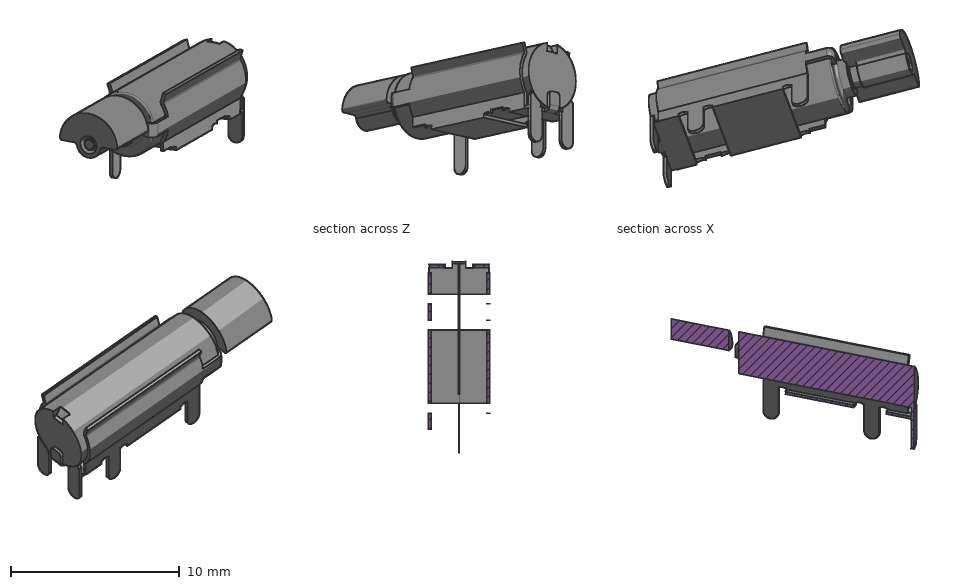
import cadquery as cq
import math


LENGTH = 15.8
HEIGHT = 6.2
CAN_RADIUS = 4.0 / 2
CLIP_RADIUS = 4.4 / 2
SHEET = CLIP_RADIUS - CAN_RADIUS
BEND = 0.38

CAN_FRONT = -11.3
CAN_EDGE_FILLET = 0.1
BOSS_RADIUS = 1.15
BOSS_FRONT = -12.01
BOSS_ROOT_FILLET = 0.19
SLOT_WIDTH = 0.82
SLOT_LENGTH = 0.57
SLOT_DEPTH = 0.55
SLOT_FLOOR_LENGTH = 0.25
SLOT_RAMP_TOP = math.sqrt(CAN_RADIUS**2 - (SLOT_WIDTH / 2) ** 2)

WASHER_RADIUS = 0.77
WASHER_FRONT = -12.09
COLLAR_RADIUS = 0.7
SHAFT_RADIUS = 0.38
SHAFT_CHAMFER = 0.08
SHAFT_STUB = 0.1
WEIGHT_RADIUS = 1.98
WEIGHT_REAR = -11.9
WEIGHT_FRONT = SHEET - LENGTH
WEIGHT_FILLET = 0.19
HUB_RADIUS = 0.8
HUB_REAR = -12.56
COUNTERSINK_RADIUS = 0.55
COUNTERSINK_DEPTH = COUNTERSINK_RADIUS - SHAFT_RADIUS

CLIP_REAR = -0.54
CLIP_FRONT = -9.81
WALL_OUTER = 1.83
WALL_INNER = WALL_OUTER - SHEET
LIP_START = math.radians(33)
LIP_BEND = 0.1
LIP_LENGTH = 0.54
LIP_ANGLE = math.radians(18)
CLIP_BOTTOM = -CLIP_RADIUS
PLATE_TOP = -CAN_RADIUS

ARM_HALF_HEIGHT = 0.87 / 2
ARM_TIP = 1.39
ARM_CORNER = 0.16

LEG_WIDTH = 0.96
LEG_END_RADIUS = LEG_WIDTH / 2 - 0.002
LEG_TOP = -1.8
LEG_BOTTOM = CAN_RADIUS - HEIGHT
SIDE_LEG_CENTERS = (-2.86, CLIP_FRONT + LEG_WIDTH / 2)
RELIEF_WIDTH = 0.57
RELIEF_ARC_HEIGHT = 0.1
REAR_LEG_FACE = -0.03
REAR_LEG_CENTER = 1.31
REAR_LEG_TOP = -1.05
REAR_LEG_GAP = 0.93
REAR_LEG_SHOULDER = -1.39
REAR_LEG_STEP = 0.16
TAB_TOP = -1.0
TAB_CORNER = 0.19


def box(x_range, y_range, z_range):
    """Block between the given pairs of limits."""
    sizes = [high - low for low, high in (x_range, y_range, z_range)]
    corner = (x_range[0], y_range[0], z_range[0])
    return cq.Workplane("XY").box(*sizes, centered=False).translate(corner)


def polar(center, distance, angle):
    """Point at a distance from center in the direction of angle."""
    return (center[0] + distance * math.cos(angle), center[1] + distance * math.sin(angle))


def disc(radius, rear, front):
    """Cylinder on the motor axis from rear to front."""
    return cq.Workplane("XZ", origin=(0, rear, 0)).circle(radius).extrude(rear - front)


def make_can():
    can = disc(CAN_RADIUS, 0, CAN_FRONT).faces("<Y").edges().fillet(CAN_EDGE_FILLET)
    root = CAN_FRONT - BOSS_ROOT_FILLET
    diagonal = BOSS_ROOT_FILLET * (1 - math.sqrt(0.5))
    boss = (
        cq.Workplane("XY")
        .moveTo(0, CAN_FRONT)
        .lineTo(BOSS_RADIUS + BOSS_ROOT_FILLET, CAN_FRONT)
        .threePointArc((BOSS_RADIUS + diagonal, CAN_FRONT - diagonal), (BOSS_RADIUS, root))
        .lineTo(BOSS_RADIUS, BOSS_FRONT)
        .lineTo(0, BOSS_FRONT)
        .close()
        .revolve(360, (0, 0, 0), (0, 1, 0))
    )
    slot = (
        cq.Workplane("YZ", origin=(-SLOT_WIDTH / 2, 0, 0))
        .moveTo(0, CAN_RADIUS)
        .lineTo(-SLOT_LENGTH, CAN_RADIUS)
        .lineTo(-SLOT_LENGTH, SLOT_RAMP_TOP)
        .lineTo(-SLOT_FLOOR_LENGTH, CAN_RADIUS - SLOT_DEPTH)
        .lineTo(0, CAN_RADIUS - SLOT_DEPTH)
        .close()
        .extrude(SLOT_WIDTH)
    )
    return can.cut(slot).union(boss)


def make_weight():
    upper = disc(WEIGHT_RADIUS, WEIGHT_REAR, WEIGHT_FRONT).intersect(
        box((-WEIGHT_RADIUS, WEIGHT_RADIUS), (WEIGHT_FRONT, WEIGHT_REAR), (0, WEIGHT_RADIUS))
    )
    upper = upper.edges("|Y").fillet(WEIGHT_FILLET)
    center_z = -WEIGHT_FILLET
    center_x = math.sqrt((HUB_RADIUS + WEIGHT_FILLET) ** 2 - center_z**2)
    web = box((-center_x, center_x), (WEIGHT_FRONT, HUB_REAR), (center_z, 0))
    hub = disc(HUB_RADIUS, HUB_REAR, WEIGHT_FRONT)
    blend = disc(WEIGHT_FILLET, HUB_REAR, WEIGHT_FRONT)
    for side in (-1, 1):
        web = web.cut(blend.translate((side * center_x, 0, center_z)))
    countersink = (
        cq.Workplane("XZ", origin=(0, WEIGHT_FRONT, 0))
        .circle(COUNTERSINK_RADIUS)
        .workplane(offset=-COUNTERSINK_DEPTH)
        .circle(SHAFT_RADIUS)
        .loft()
    )
    return upper.union(web).union(hub).cut(countersink)


def make_shaft():
    washer = disc(WASHER_RADIUS, BOSS_FRONT, WASHER_FRONT)
    collar = disc(COLLAR_RADIUS, WASHER_FRONT, HUB_REAR)
    tip_rear = WEIGHT_FRONT + COUNTERSINK_DEPTH
    tip = disc(SHAFT_RADIUS, tip_rear, tip_rear - SHAFT_STUB)
    tip = tip.faces("<Y").edges().chamfer(SHAFT_CHAMFER)
    return washer.union(collar).union(tip)


def make_clip_side(side):
    """One side wall with its can-hugging arc and flared lip; side is -1 or 1."""
    inner_z = math.sqrt(CAN_RADIUS**2 - WALL_INNER**2)
    outer_z = math.sqrt(CLIP_RADIUS**2 - WALL_OUTER**2)
    bend_center = polar((0, 0), CLIP_RADIUS + LIP_BEND, LIP_START)
    bend_start = math.pi + LIP_START
    bend_end = math.pi - LIP_ANGLE
    bend_middle = (bend_start + bend_end) / 2
    inner_bend = LIP_BEND + SHEET
    lip_direction = math.pi / 2 - LIP_ANGLE
    inner_tip = polar(polar(bend_center, inner_bend, bend_end), LIP_LENGTH, lip_direction)
    outer_tip = polar(polar(bend_center, LIP_BEND, bend_end), LIP_LENGTH, lip_direction)

    def at(point):
        return (side * point[0], point[1])

    return (
        cq.Workplane("XZ", origin=(0, CLIP_REAR, 0))
        .moveTo(*at((WALL_INNER, CLIP_BOTTOM)))
        .lineTo(*at((WALL_INNER, -inner_z)))
        .threePointArc(at((CAN_RADIUS, 0)), at(polar(bend_center, inner_bend, bend_start)))
        .threePointArc(
            at(polar(bend_center, inner_bend, bend_middle)),
            at(polar(bend_center, inner_bend, bend_end)),
        )
        .lineTo(*at(inner_tip))
        .lineTo(*at(outer_tip))
        .lineTo(*at(polar(bend_center, LIP_BEND, bend_end)))
        .threePointArc(
            at(polar(bend_center, LIP_BEND, bend_middle)),
            at(polar(bend_center, LIP_BEND, bend_start)),
        )
        .threePointArc(at((CLIP_RADIUS, 0)), at((WALL_OUTER, -outer_z)))
        .lineTo(*at((WALL_OUTER, CLIP_BOTTOM)))
        .close()
        .extrude(CLIP_REAR - CLIP_FRONT)
    )


def make_leg_notch(center):
    """Cutter that clears the bottom plate and side walls around one side leg."""
    half_leg = LEG_WIDTH / 2
    half_notch = half_leg + RELIEF_WIDTH
    arc_y = half_leg + RELIEF_WIDTH / 2
    arc_top = PLATE_TOP + RELIEF_ARC_HEIGHT
    profile = (
        cq.Workplane("YZ", origin=(-CLIP_RADIUS, center, 0))
        .moveTo(-half_notch, CLIP_BOTTOM)
        .lineTo(-half_notch, PLATE_TOP)
        .threePointArc((-arc_y, arc_top), (-half_leg, PLATE_TOP))
        .lineTo(-half_leg, LEG_TOP)
        .lineTo(half_leg, LEG_TOP)
        .lineTo(half_leg, PLATE_TOP)
        .threePointArc((arc_y, arc_top), (half_notch, PLATE_TOP))
        .lineTo(half_notch, CLIP_BOTTOM)
        .close()
    )
    return profile.extrude(2 * CLIP_RADIUS)


def make_side_leg(center):
    leg = box(
        (-WALL_OUTER, -WALL_INNER),
        (center - LEG_WIDTH / 2, center + LEG_WIDTH / 2),
        (LEG_BOTTOM, LEG_TOP),
    )
    return leg.faces("<Z").edges("|X").fillet(LEG_END_RADIUS)


def make_rear_leg(side):
    outer = REAR_LEG_CENTER + LEG_WIDTH / 2
    depth = (REAR_LEG_FACE - SHEET, REAR_LEG_FACE)
    lower = box((outer - LEG_WIDTH, outer), depth, (LEG_BOTTOM, PLATE_TOP))
    lower = lower.faces("<Z").edges("|Y").fillet(LEG_END_RADIUS)
    upper = (
        cq.Workplane("XZ", origin=(0, REAR_LEG_FACE, 0))
        .moveTo(REAR_LEG_GAP, PLATE_TOP)
        .lineTo(outer, PLATE_TOP)
        .lineTo(outer, REAR_LEG_SHOULDER)
        .lineTo(outer - REAR_LEG_STEP, REAR_LEG_SHOULDER + REAR_LEG_STEP)
        .lineTo(outer - REAR_LEG_STEP, REAR_LEG_TOP)
        .lineTo(REAR_LEG_GAP, REAR_LEG_TOP)
        .close()
        .extrude(SHEET)
    )
    leg = lower.union(upper)
    return leg if side > 0 else leg.mirror("YZ")


def make_rear_tab():
    half = SLOT_WIDTH / 2
    upright = box((-half, half), (0, SHEET), (CLIP_BOTTOM, TAB_TOP))
    upright = upright.edges("|Y and >Z").fillet(TAB_CORNER)
    foot = box((-half, half), (CLIP_REAR, SHEET), (CLIP_BOTTOM, PLATE_TOP))
    tab = upright.union(foot)
    return tab.edges("|X and >Y and <Z").fillet(BEND)


def make_arm(side):
    """Arm running forward along the can and bending over its front face."""
    front = CAN_FRONT - SHEET
    inner_bend = BEND - SHEET
    bend_x = CLIP_RADIUS - BEND
    bend_y = front + BEND
    diagonal = math.sqrt(0.5)
    blank_tip = ARM_TIP - SHEET
    sweep = 2 * math.degrees(math.asin(ARM_HALF_HEIGHT / blank_tip))
    blank = (
        cq.Workplane("XY")
        .moveTo(CAN_RADIUS, CLIP_FRONT)
        .lineTo(CLIP_RADIUS, CLIP_FRONT)
        .lineTo(CLIP_RADIUS, bend_y)
        .threePointArc((bend_x + BEND * diagonal, bend_y - BEND * diagonal), (bend_x, front))
        .lineTo(blank_tip, front)
        .lineTo(blank_tip, CAN_FRONT)
        .lineTo(bend_x, CAN_FRONT)
        .threePointArc(
            (bend_x + inner_bend * diagonal, bend_y - inner_bend * diagonal),
            (CAN_RADIUS, bend_y),
        )
        .close()
        .revolve(sweep, (0, 0, 0), (0, 1, 0))
        .rotate((0, 0, 0), (0, 1, 0), -sweep / 2)
    )
    window = box((ARM_TIP, CLIP_RADIUS), (front, CLIP_FRONT), (-ARM_HALF_HEIGHT, ARM_HALF_HEIGHT))
    arm = blank.intersect(window.edges("|Y and <X").fillet(ARM_CORNER))
    return arm if side > 0 else arm.mirror("YZ")


def make_clip():
    clip = box((-WALL_OUTER, WALL_OUTER), (CLIP_FRONT, CLIP_REAR), (CLIP_BOTTOM, PLATE_TOP))
    for side in (-1, 1):
        clip = clip.union(make_clip_side(side))
    for center in SIDE_LEG_CENTERS:
        clip = clip.cut(make_leg_notch(center)).union(make_side_leg(center))
    half_width = REAR_LEG_CENTER + LEG_WIDTH / 2
    extension = box(
        (-half_width, half_width),
        (CLIP_REAR, REAR_LEG_FACE - SHEET),
        (CLIP_BOTTOM, PLATE_TOP),
    )
    clip = clip.union(extension)
    for side in (-1, 1):
        clip = clip.union(make_rear_leg(side)).union(make_arm(side))
    return clip.union(make_rear_tab())


result = make_can().union(make_shaft()).union(make_weight()).union(make_clip())